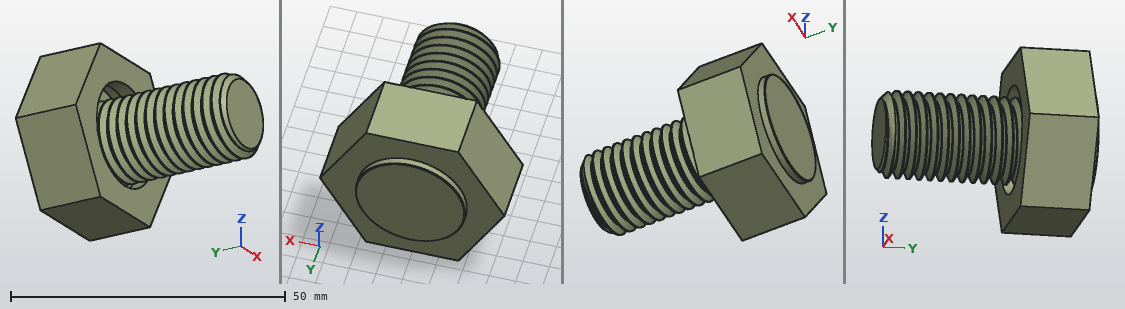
import cadquery as cq
import math

total_length = 39.0

across_flats = 30.15
across_corners = across_flats / math.cos(math.radians(30))
hex_length = 12.8
hex_front = 24.75
hex_back = hex_front + hex_length
mouth_diameter = 19.95
lip_depth = 3.0
socket_diameter = 20.67

head_recess = 5.23
head_front = hex_front + head_recess
head_length = total_length - head_front
head_edge_chamfer = 0.15

shank_offset_x = 1.15
shank_offset_z = -0.6
thread_diameter = 16.0
thread_radius = thread_diameter / 2
pitch = thread_diameter / 8
thread_depth = 1.35
root_radius = thread_radius - thread_depth
crest_width = pitch / 8
root_width = 0.2
tip_chamfer = 1.52
shank_length = head_front
thread_start_angle = -56.0

groove_overrun = pitch
groove_length = shank_length + 2 * groove_overrun
cutter_overlap = 0.05


def cylinder_along_y(diameter, y_start, length):
    """Cylinder on the hexagon axis, starting at y_start and running toward +Y."""
    plane = cq.Plane(origin=(0, y_start, 0), xDir=(1, 0, 0), normal=(0, 1, 0))
    return cq.Workplane(plane).circle(diameter / 2).extrude(length)


def make_hex_body():
    """Hexagon with a through bore: a narrower lip in front of a wider socket."""
    plane = cq.Plane(origin=(0, hex_front, 0), xDir=(1, 0, 0), normal=(0, 1, 0))
    block = cq.Workplane(plane).polygon(6, across_corners).extrude(hex_length)
    mouth = cylinder_along_y(mouth_diameter, hex_front, lip_depth)
    socket_front = hex_front + lip_depth
    socket = cylinder_along_y(socket_diameter, socket_front, hex_back - socket_front)
    return block.cut(mouth).cut(socket)


def make_thread_groove():
    """Helical V groove around the Z axis, with a narrow flat at its root."""
    flank_slope = (pitch - crest_width - root_width) / 2 / thread_depth
    root_half = root_width / 2
    outer_radius = thread_radius + cutter_overlap
    outer_half = root_half + flank_slope * (outer_radius - root_radius)
    section = [
        (root_radius, -root_half),
        (outer_radius, -outer_half),
        (outer_radius, outer_half),
        (root_radius, root_half),
    ]
    edges = [
        cq.Wire.makeHelix(pitch, groove_length, radius).translate(cq.Vector(0, 0, height))
        for radius, height in section
    ]
    next_edges = edges[1:] + edges[:1]
    sides = [cq.Face.makeRuledSurface(edge, other) for edge, other in zip(edges, next_edges)]
    caps = [make_groove_cap(section, height) for height in (0, groove_length)]
    groove = cq.Solid.makeSolid(cq.Shell.makeShell(sides + caps)).fix()
    groove = groove.translate(cq.Vector(0, 0, -groove_overrun))
    return cq.Workplane(groove).rotate((0, 0, 0), (0, 0, 1), thread_start_angle)


def make_groove_cap(section, cap_height):
    """Flat end of the groove, in the axial plane the helix has reached at cap_height."""
    angle = 2 * math.pi * cap_height / pitch
    corners = [
        cq.Vector(radius * math.cos(angle), radius * math.sin(angle), cap_height + height)
        for radius, height in section
    ]
    return cq.Face.makeFromWires(cq.Wire.makePolygon(corners, close=True))


def make_shank():
    """Threaded rod with a chamfered tip, cut upright and then laid along Y."""
    rod = cq.Workplane("XY").circle(thread_radius).extrude(shank_length)
    rod = rod.faces("<Z").chamfer(tip_chamfer)
    threaded_rod = rod.cut(make_thread_groove())
    lying_rod = threaded_rod.rotate((0, 0, 0), (1, 0, 0), -90)
    return lying_rod.translate((shank_offset_x, 0, shank_offset_z))


def make_screw():
    """Round head with an eccentric threaded shank."""
    head = cylinder_along_y(socket_diameter, head_front, head_length)
    head = head.faces(">Y").chamfer(head_edge_chamfer)
    return head.union(make_shank())


hex_body = make_hex_body()
screw = make_screw()
result = cq.Compound.makeCompound([hex_body.val(), screw.solids().val()])